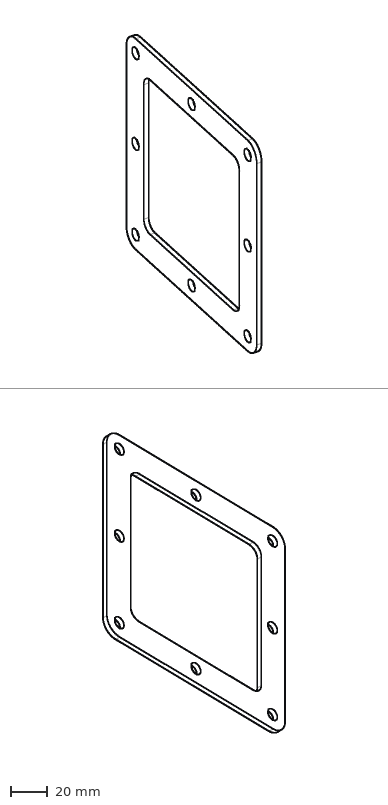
import cadquery as cq

side = 136.5
thickness = 3.1
corner_radius = 9.5
window_side = 100.0
window_radius = 6.4
hole_diameter = 7.1
hole_pitch = 58.7


def rounded_square(width, radius):
    """Square block with rounded corners, centred on the origin, flat in XZ."""
    return cq.Workplane("XY").box(width, thickness, width).edges("|Y").fillet(radius)


frame = rounded_square(side, corner_radius).cut(rounded_square(window_side, window_radius))

steps = (-1, 0, 1)
hole_centres = [
    (i * hole_pitch, k * hole_pitch) for i in steps for k in steps if (i, k) != (0, 0)
]

result = (
    frame.faces("<Y")
    .workplane(centerOption="CenterOfBoundBox")
    .pushPoints(hole_centres)
    .hole(hole_diameter)
)